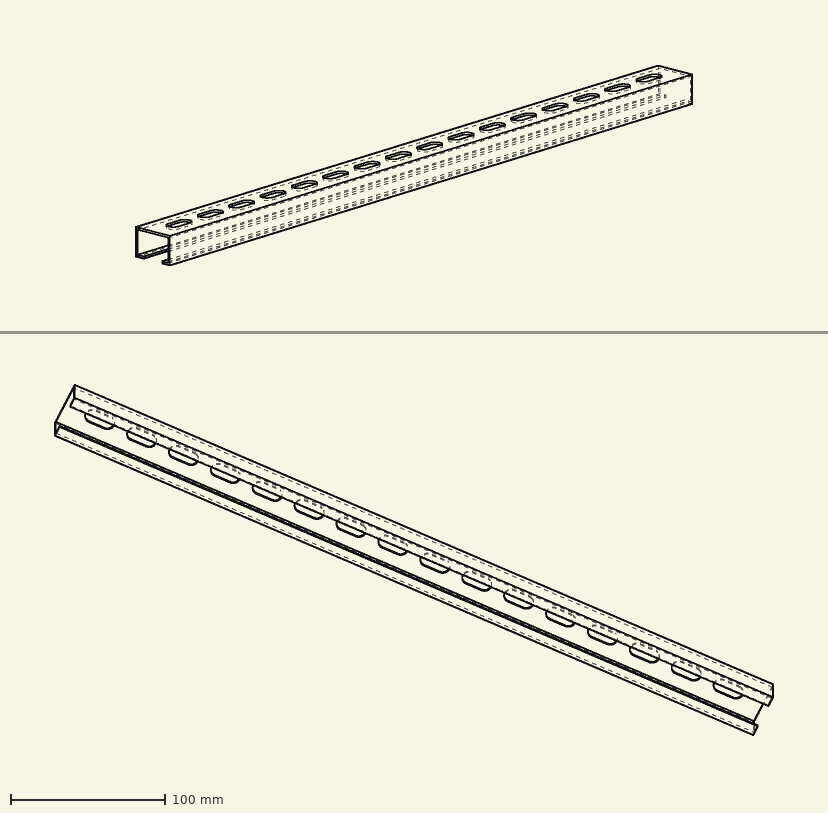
import cadquery as cq

length = 500.0
width = 30.0
height = 20.0
wall = 1.5
lip_width = 7.0

slot_count = 16
slot_pitch = 30.0
slot_length = 20.0
slot_width = 9.0


def make_channel():
    """C-section, open downwards, with two inturned bottom lips."""
    outer = cq.Workplane("XY").box(width, length, height)
    cavity = cq.Workplane("XY").box(width - 2 * wall, length, height - 2 * wall)
    mouth = (
        cq.Workplane("XY")
        .box(width - 2 * lip_width, length, wall)
        .translate((0, 0, (wall - height) / 2))
    )
    return outer.cut(cavity).cut(mouth)


def make_slots():
    """Cutters for the web slots, centred along the rail."""
    return (
        cq.Workplane("XY")
        .workplane(offset=height / 2 - wall)
        .rarray(5, slot_pitch, 1, slot_count)
        .slot2D(slot_length, slot_width, 90)
        .extrude(wall)
    )


result = make_channel().cut(make_slots())